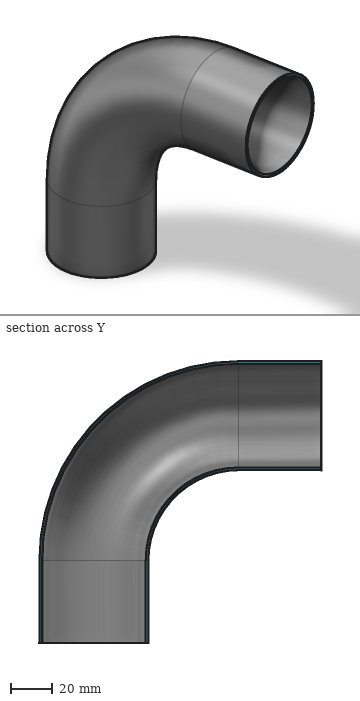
import cadquery as cq

overall_length = 136.5
outer_diameter = 53.0
bore_diameter = 50.0
straight_length = 40.0

outer_radius = outer_diameter / 2
bend_radius = overall_length - straight_length - outer_radius
bend_angle = 90


def elbow(diameter):
    """Solid round bar: up along Z, through the bend, then out along +X."""
    lower_leg = cq.Workplane("XY").circle(diameter / 2).extrude(straight_length)
    bend = (
        cq.Workplane("XY", origin=(0, 0, straight_length))
        .circle(diameter / 2)
        .revolve(bend_angle, (bend_radius, 0), (bend_radius, 1))
    )
    upper_leg = (
        cq.Workplane("YZ", origin=(bend_radius, 0, straight_length + bend_radius))
        .circle(diameter / 2)
        .extrude(straight_length)
    )
    return lower_leg.union(bend).union(upper_leg)


result = elbow(outer_diameter).cut(elbow(bore_diameter))